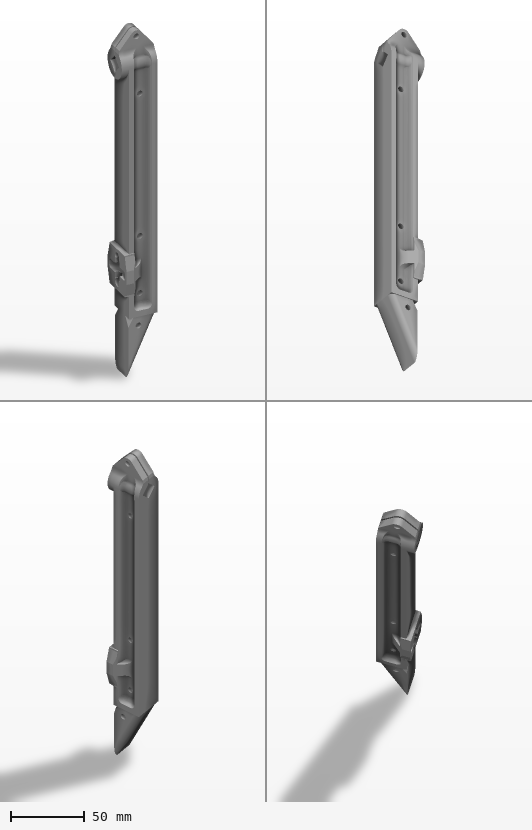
import cadquery as cq
import math

part_height = 263.5
part_depth = 27.0
body_size = 21.5
back_y = part_depth / 2
front_y = -back_y
body_front_y = back_y - body_size
body_mid_y = back_y - body_size / 2
body_bottom = 46.6
body_half = body_size / 2

eye_z = 238.2
eye_radius = body_half
lug_width = 11.9
lug_tip_radius = 4.6
lug_slope_angle = math.radians(50)
lug_shoulder_inset = 0.5
lug_shoulder_height = 2.6
neck_radius = 5.8
square_hole_side = 9.2
slit_width = 1.0

groove_width = 13.7
groove_bottom = 51.0
groove_taper = 20
groove_floor_radius = 3.5
groove_corner_radius = 3.7
groove_depth = (body_size - lug_width) / 2
hub_radius = 7.6
hub_wall_radius = 4.0
hub_root_radius = 3.5

block_z = 80.0
block_width = 28.5
block_front_y = -11.5
block_length = 32.5
block_end_width = 23.2
block_end_straight = 1.3
block_flat_length = 10.0
block_end_draft = 0.5
wing_rear_y = -6.0
gusset_rear_y = 3.7
gusset_root_radius = 3.2

band_length = 24.2
band_height = 7.0
band_depth = 7.5
band_edge_radius = 2.5
cord_ring_radius = 9.2
cord_pocket_spacing = 19.5
cord_pocket_radius = 3.2
cord_pocket_depth = 9.0
cord_radius = 3.0
cord_slot_width = 7.0
cord_slot_length = 15.8
cord_slot_depth = 2.6

tail_width = 20.3
tail_edge_radius = 4.0
notch_width = 4.7
notch_depth = 4.0
notch_height = 7.0

cross_hole_diameter = 4.2
lug_hole_z = part_height - lug_tip_radius
cross_holes = [(0, lug_hole_z), (-0.5, 39.5)] + [(body_mid_y, z) for z in (61.7, 105.5, 214.5)]


def box(x_range, y_range, z_range):
    """Axis-aligned box from its limits."""
    low, high = zip(x_range, y_range, z_range)
    size = [b - a for a, b in zip(low, high)]
    return cq.Workplane("XY").box(*size, centered=False).translate(low)


def along_y(sketch_z, y_start):
    """Sketch plane facing -Y, with its origin on the Z axis of the part."""
    return cq.Workplane("XZ", origin=(0, y_start, sketch_z))


def mirrored_pair(solid):
    """The solid together with its mirror image across X = 0."""
    return solid.union(solid.mirror("YZ"))


def chord_radius(chord, depth):
    """Radius of the arc with the given chord and depth."""
    return ((chord / 2) ** 2 + depth ** 2) / (2 * depth)


def make_body():
    """Square bar up to the centre of the eye."""
    return box((-body_half, body_half), (body_front_y, back_y), (body_bottom, eye_z))


def make_head():
    """Eye with the pointed lug above it, trimmed to the side profile of the lug."""
    eye = along_y(eye_z, back_y).circle(eye_radius).extrude(part_depth)
    lug_half = lug_width / 2
    lug = box((-lug_half, lug_half), (front_y, back_y), (eye_z, part_height))
    neck_z = eye_z + math.sqrt(eye_radius ** 2 - lug_half ** 2)
    head = eye.union(lug)
    margin = 0.3
    neck_edges = cq.selectors.BoxSelector(
        (-eye_radius, front_y, neck_z - margin), (eye_radius, back_y, neck_z + margin))
    head = head.edges("|Y").edges(neck_edges).fillet(neck_radius)

    tip_y = lug_tip_radius * math.sin(lug_slope_angle)
    tip_z = lug_hole_z + lug_tip_radius * math.cos(lug_slope_angle)
    corner_y = back_y - lug_shoulder_inset
    corner_z = tip_z - (corner_y - tip_y) * math.tan(lug_slope_angle)
    shoulder_z = corner_z - lug_shoulder_height
    profile = (
        cq.Workplane("YZ")
        .moveTo(front_y, body_bottom)
        .lineTo(front_y, shoulder_z)
        .lineTo(-corner_y, corner_z)
        .lineTo(-tip_y, tip_z)
        .threePointArc((0, part_height), (tip_y, tip_z))
        .lineTo(corner_y, corner_z)
        .lineTo(back_y, shoulder_z)
        .lineTo(back_y, body_bottom)
        .close()
        .extrude(eye_radius, both=True)
    )
    return head.intersect(profile)


def make_groove_pair():
    """Drafted, rounded grooves in both sides, open through the top of the head."""
    run_out = 2.6
    slope = math.tan(math.radians(groove_taper))
    widening = 2 * slope * (groove_depth + run_out)
    floor_width = groove_width - 2 * slope * groove_depth
    floor_bottom = groove_bottom + slope * groove_depth
    floor_length = part_height + run_out - floor_bottom
    groove = (
        cq.Workplane("YZ", origin=(lug_width / 2, body_mid_y, floor_bottom + floor_length / 2))
        .rect(floor_width, floor_length)
        .workplane(offset=groove_depth + run_out)
        .rect(floor_width + widening, floor_length + widening)
        .loft(ruled=True)
    )
    groove = groove.edges("not (|Y or |Z)").fillet(groove_corner_radius)
    groove = groove.faces("<X").edges().fillet(groove_floor_radius)
    return mirrored_pair(groove)


def make_hub():
    """Waisted sleeve around the square hole, flaring into the groove walls."""
    half = groove_width / 2
    waist_half = half - hub_wall_radius
    rim = hub_radius + hub_wall_radius
    bulge = hub_wall_radius * math.sin(math.pi / 4)
    arc_radius = rim - bulge
    arc_y = waist_half + bulge
    hub = (
        cq.Workplane("XY")
        .moveTo(0, -half)
        .lineTo(rim, -half)
        .threePointArc((arc_radius, -arc_y), (hub_radius, -waist_half))
        .lineTo(hub_radius, waist_half)
        .threePointArc((arc_radius, arc_y), (rim, half))
        .lineTo(0, half)
        .close()
        .revolve(360, (0, 0, 0), (0, 1, 0))
        .translate((0, body_mid_y, eye_z))
    )
    envelope = along_y(eye_z, back_y).circle(eye_radius).extrude(body_size).union(make_body())
    return hub.intersect(envelope).union(make_hub_roots())


def make_hub_roots():
    """Concave fillets where the sleeve meets the groove floors, above and below it."""
    web_half = lug_width / 2
    r = hub_root_radius
    reach = hub_radius + r
    center_x = web_half + r
    center_z = math.sqrt(reach ** 2 - center_x ** 2)
    touch = (center_x * hub_radius / reach, center_z * hub_radius / reach)
    bisector = (math.pi + math.atan2(-center_z, -center_x) % (2 * math.pi)) / 2
    middle = (center_x + r * math.cos(bisector), center_z + r * math.sin(bisector))
    root = (
        along_y(eye_z, body_mid_y + groove_width / 2)
        .moveTo(0, center_z)
        .lineTo(web_half, center_z)
        .threePointArc(middle, touch)
        .lineTo(0, 0)
        .close()
        .extrude(groove_width)
    )
    upper = mirrored_pair(root)
    return upper.union(upper.mirror("XY", (0, 0, eye_z)))


def make_block():
    """Saddle block bounded by its front outline, side profile and plan profile."""
    half = block_width / 2
    end_half = block_end_width / 2
    top = block_length / 2
    shoulder = top - block_end_straight
    flat = block_flat_length / 2
    quarter = [(end_half, top), (end_half, shoulder), (half, flat)]
    right = quarter + [(x, -z) for x, z in reversed(quarter)]
    left = [(-x, -z) for x, z in right]
    outline = along_y(block_z, back_y).polyline(right + left).close().extrude(part_depth)

    wall_y = body_mid_y - groove_width / 2
    front_top = top - block_end_draft
    side = (
        cq.Workplane("YZ", origin=(0, 0, block_z))
        .polyline([(wall_y, top), (body_front_y, top), (block_front_y, front_top),
                   (block_front_y, -front_top), (body_front_y, -top), (wall_y, -top)])
        .close()
        .extrude(half, both=True)
    )
    web_half = lug_width / 2
    plan = (
        cq.Workplane("XY", origin=(0, 0, block_z))
        .polyline([(-half, block_front_y), (half, block_front_y), (half, wing_rear_y),
                   (web_half, gusset_rear_y), (-web_half, gusset_rear_y), (-half, wing_rear_y)])
        .close()
        .extrude(top, both=True)
    )
    r = gusset_root_radius
    arc = r * (1 - math.sin(math.pi / 4))
    gusset = (
        along_y(block_z, gusset_rear_y)
        .moveTo(0, flat + r)
        .lineTo(web_half, flat + r)
        .threePointArc((web_half + arc, flat + arc), (web_half + r, flat))
        .lineTo(half, flat)
        .lineTo(half, -flat)
        .lineTo(web_half + r, -flat)
        .threePointArc((web_half + arc, -flat - arc), (web_half, -flat - r))
        .lineTo(0, -flat - r)
        .close()
        .extrude(gusset_rear_y - block_front_y)
    )
    return outline.intersect(side).union(mirrored_pair(gusset)).intersect(plan)


def make_channels():
    """Curved band channel across X, crossed by a cord channel arching over a saddle along Z."""
    band_radius = chord_radius(band_length, band_depth)
    band_y = block_front_y + band_depth - band_radius
    band = (
        cq.Workplane("XY", origin=(0, band_y, block_z - band_height / 2))
        .circle(band_radius)
        .extrude(band_height)
        .edges()
        .fillet(band_edge_radius)
    )
    cord = (
        along_y(block_z, block_front_y + cord_pocket_depth)
        .center(0, cord_ring_radius)
        .circle(cord_radius)
        .revolve(180, (0, -cord_ring_radius, 0), (1, -cord_ring_radius, 0))
    )
    pockets = (
        along_y(block_z, block_front_y + cord_pocket_depth)
        .rarray(2.6, cord_pocket_spacing, 1, 2)
        .circle(cord_pocket_radius)
        .extrude(cord_pocket_depth)
    )
    slot = (
        along_y(block_z, block_front_y + cord_slot_depth)
        .rect(cord_slot_width, cord_slot_length)
        .extrude(cord_slot_depth)
    )
    return band.union(cord).union(pockets).union(slot)


def make_tail():
    """Wedge with rounded back edges and notched front corners."""
    half = tail_width / 2
    tail = (
        cq.Workplane("YZ")
        .polyline([(body_front_y, 0), (body_front_y, body_bottom), (back_y, body_bottom)])
        .close()
        .extrude(half, both=True)
    )
    tail = tail.faces("not (|X or |Y or |Z)").edges("not |X").fillet(tail_edge_radius)
    return tail.cut(mirrored_pair(make_notch()))


def make_notch():
    """Tetrahedron that slants off the upper front corner of the tail."""
    x, y, z = tail_width / 2, body_front_y, body_bottom
    corner = (x, y, z)
    inner, rear, lower = (x - notch_width, y, z), (x, y + notch_depth, z), (x, y, z - notch_height)
    triangles = [(corner, inner, rear), (corner, rear, lower),
                 (corner, lower, inner), (inner, lower, rear)]
    faces = [cq.Face.makeFromWires(cq.Wire.makePolygon([cq.Vector(p) for p in triangle], close=True))
             for triangle in triangles]
    return cq.Workplane(cq.Solid.makeSolid(cq.Shell.makeShell(faces)))


def make_cross_holes():
    """Small through holes along X in lug, web and tail."""
    holes = cq.Workplane("YZ").pushPoints(cross_holes).circle(cross_hole_diameter / 2)
    return holes.extrude(body_half, both=True)


def make_clamp_cut():
    """Square hole standing on its corner, with the slit that splits the lug."""
    square = along_y(eye_z, back_y).rect(square_hole_side, square_hole_side).extrude(part_depth)
    square = square.rotate((0, 0, eye_z), (0, 1, eye_z), 45)
    half = slit_width / 2
    return square.union(box((-half, half), (front_y, back_y), (eye_z, part_height)))


body = make_body().union(make_head()).cut(make_groove_pair()).union(make_hub())
body = body.union(make_block(), clean=False).cut(make_channels()).union(make_tail())
result = body.cut(make_cross_holes()).cut(make_clamp_cut())